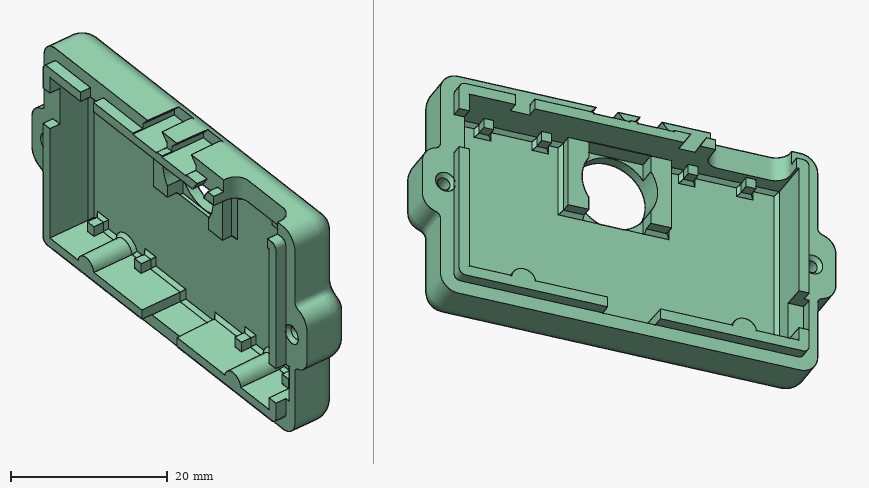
import cadquery as cq
import math

body_length = 52.45
body_height = 32.4
body_depth = 7.0
corner_radius = 2.5
back_round = 2.8

total_length = 57.5
ear_flat_half = 2.35
ear_round = 2.5
ear_blend = 0.9
screw_x = 25.5
screw_radius = 0.85
screw_mouth_radius = 1.4
screw_mouth_depth = 0.6

lip_height = 1.6
lip_length = 48.65
lip_width = 28.65
lip_corner = 0.85
cavity_length = 45.8
cavity_width = 25.7
draft = 1.0
floor_thickness = 2.0
base_chamfer = 0.5
floor_y = body_depth - floor_thickness
cavity_depth = floor_y + lip_height
cavity_top = cavity_width / 2
body_top = body_height / 2

left_gap_bottom = 4.65
left_gap_top = 10.35
top_gap_left = -16.5
top_gap_right = -13.8
slanted_gap_bottom = 12.3
slanted_gap_lower = (6.55, 8.85)
slanted_gap_upper = (7.9, 10.05)

connector_left = 11.3
connector_right = 22.6
connector_depth = 2.4
connector_radius = 2.0

pocket_right = 25.0
pocket_bottom = -11.0
pocket_top = -5.45
pocket_depth = 1.7

notch_half = 3.7
notch_bottom = -14.4

slot_x = 3.05
slot_bottom = 14.15
slot_shoulder = 15.1
slot_wide_half = 2.55
slot_narrow_half = 1.55
slot_overshoot = 0.6

post_height = 2.0
post_width = 1.4
post_flare = 0.45
top_post_reach = 1.45
bottom_post_reach = 1.6
top_post_x = (10.2, 18.2)
bottom_post_x = (10.45, 20.35)
bump_x = 15.35
bump_radius = 1.65
bump_center_z = -13.1

window_z = 7.5
window_radius = 5.25
rail_inner = 4.3
rail_outer = 7.2
rail_bottom = 2.7
recess_bottom = 2.2
recess_depth = 0.5


def block(x_range, y_range, z_range):
    """Box spanning the given ranges."""
    size = [high - low for low, high in (x_range, y_range, z_range)]
    corner = cq.Vector(x_range[0], y_range[0], z_range[0])
    return cq.Workplane(cq.Solid.makeBox(*size, corner))


def front_plane(y):
    """Sketch plane facing -Y: sketch x is +X, sketch y is +Z."""
    return cq.Workplane(cq.Plane((0, y, 0), (1, 0, 0), (0, -1, 0)))


def extrude_drafted(sketch, angle=draft):
    """Extrude from the lip's front to the floor, narrowing by the draft angle."""
    return sketch.extrude(-cavity_depth, taper=angle)


def make_ear(side):
    """Ear whose round flanks blend into the body side with concave arcs."""
    reach = (total_length - body_length) / 2
    span = ear_round + ear_blend
    blend_z = ear_flat_half + math.sqrt(span**2 - (span - reach) ** 2)
    round_center = (total_length / 2 - ear_round, ear_flat_half)
    blend_center = (body_length / 2 + ear_blend, blend_z)
    angle = math.atan2(blend_center[1] - round_center[1], blend_center[0] - round_center[0])
    blend_mid = math.pi + angle / 2

    def on_arc(center, radius, a):
        return (center[0] + radius * math.cos(a), center[1] + radius * math.sin(a))

    flat_end = on_arc(round_center, ear_round, 0)
    round_middle = on_arc(round_center, ear_round, angle / 2)
    arc_joint = on_arc(round_center, ear_round, angle)
    blend_middle = on_arc(blend_center, ear_blend, blend_mid)
    blend_end = on_arc(blend_center, ear_blend, math.pi)

    def upper(point):
        return (side * point[0], point[1])

    def lower(point):
        return (side * point[0], -point[1])

    inner_x = side * (body_length / 2 - ear_round)
    return (
        front_plane(body_depth)
        .moveTo(inner_x, -blend_z)
        .lineTo(*lower(blend_end))
        .threePointArc(lower(blend_middle), lower(arc_joint))
        .threePointArc(lower(round_middle), lower(flat_end))
        .lineTo(*upper(flat_end))
        .threePointArc(upper(round_middle), upper(arc_joint))
        .threePointArc(upper(blend_middle), upper(blend_end))
        .lineTo(inner_x, blend_z)
        .close()
        .extrude(body_depth)
    )


def make_shell():
    body = front_plane(body_depth).rect(body_length, body_height).extrude(body_depth)
    body = body.edges("|Y").fillet(corner_radius)
    for side in (-1, 1):
        body = body.union(make_ear(side))
    return body.faces(">Y").edges().fillet(back_round)


def make_screw_hole(x):
    """Through hole with a countersink at the rim."""
    rim_point = cq.Vector(x, 0, 0)
    inward = cq.Vector(0, 1, 0)
    hole = cq.Solid.makeCylinder(screw_radius, body_depth, rim_point, inward)
    mouth = cq.Solid.makeCone(screw_mouth_radius, screw_radius, screw_mouth_depth, rim_point, inward)
    return cq.Workplane(hole).union(cq.Workplane(mouth))


def make_lip():
    lip = front_plane(0).rect(lip_length, lip_width).extrude(lip_height)
    lip = lip.edges("|Y").fillet(lip_corner)
    lip_y = (-lip_height, 0)
    lip = lip.cut(block((-lip_length / 2, 0), lip_y, (left_gap_bottom, left_gap_top)))
    lip = lip.cut(block((top_gap_left, top_gap_right), lip_y, (0, lip_width / 2)))
    slanted_gap = (
        front_plane(0)
        .polyline([
            (slanted_gap_lower[0], slanted_gap_bottom),
            (slanted_gap_lower[1], slanted_gap_bottom),
            (slanted_gap_upper[1], lip_width / 2),
            (slanted_gap_upper[0], lip_width / 2),
        ])
        .close()
        .extrude(lip_height)
    )
    return lip.cut(slanted_gap)


def make_cavity():
    """Drafted cavity plus the notch in its bottom wall, less the bumps; chamfered at the floor."""
    cavity = extrude_drafted(front_plane(-lip_height).rect(cavity_length, cavity_width))
    notch = front_plane(-lip_height).rect(2 * notch_half, -2 * notch_bottom)
    upper_half = block((-notch_half, notch_half), (-lip_height, floor_y), (0, -notch_bottom))
    cavity = cavity.union(extrude_drafted(notch).cut(upper_half))
    for x in (-bump_x, bump_x):
        bump = front_plane(-lip_height).center(x, bump_center_z).circle(bump_radius)
        cavity = cavity.cut(extrude_drafted(bump, -draft))
    return cavity.faces(">Y").edges().chamfer(base_chamfer)


def make_connector_opening():
    opening = block(
        (connector_left, connector_right),
        (-lip_height, connector_depth),
        (0, body_top),
    )
    return opening.edges("|Z and >Y").fillet(connector_radius)


def make_slot(x):
    half_profile = [
        (slot_wide_half, slot_bottom),
        (slot_wide_half, slot_shoulder),
        (slot_narrow_half, body_top),
        (slot_narrow_half, body_top + slot_overshoot),
    ]
    profile = [(x + dx, z) for dx, z in half_profile]
    profile += [(x - dx, z) for dx, z in reversed(half_profile)]
    return extrude_drafted(front_plane(-lip_height).polyline(profile).close())


def make_flared(x_range, z_range, flare, open_faces):
    """Block standing on the floor, flared by a chamfer at its foot except on the open faces."""
    x_flare = [0 if face in open_faces else flare for face in ("<X", ">X")]
    z_flare = [0 if face in open_faces else flare for face in ("<Z", ">Z")]

    def outline(y, grow):
        left = x_range[0] - grow * x_flare[0]
        right = x_range[1] + grow * x_flare[1]
        bottom = z_range[0] - grow * z_flare[0]
        top = z_range[1] + grow * z_flare[1]
        corners = ((left, bottom), (right, bottom), (right, top), (left, top))
        return cq.Wire.makePolygon([cq.Vector(x, y, z) for x, z in corners], close=True)

    foot = cq.Solid.makeLoft([outline(floor_y, 1), outline(floor_y - flare, 0)], True)
    return block(x_range, (floor_y - post_height, floor_y), z_range).union(cq.Workplane(foot))


def make_posts():
    posts = []
    top_z = (cavity_top - top_post_reach, cavity_top)
    bottom_z = (-cavity_top, bottom_post_reach - cavity_top)
    for side in (-1, 1):
        for x in top_post_x:
            span = (side * x - post_width / 2, side * x + post_width / 2)
            posts.append(make_flared(span, top_z, post_flare, (">Z",)))
        for x in bottom_post_x:
            span = (side * x - post_width / 2, side * x + post_width / 2)
            posts.append(make_flared(span, bottom_z, post_flare, ("<Z",)))
    return posts


def make_rails():
    rail_z = (rail_bottom, cavity_top)
    left = make_flared((-rail_outer, -rail_inner), rail_z, base_chamfer, (">X", ">Z"))
    right = make_flared((rail_inner, rail_outer), rail_z, base_chamfer, ("<X", ">Z"))
    return [left, right]


def make_catch_pocket():
    return block((0, pocket_right), (-lip_height, pocket_depth), (pocket_bottom, pocket_top))


def make_window():
    """Round window through the floor, with the shallow recess between the rails."""
    recess_y = (floor_y - post_height, floor_y + recess_depth)
    recess = block((-rail_inner, rail_inner), recess_y, (recess_bottom, cavity_top))
    window = front_plane(body_depth).center(0, window_z).circle(window_radius).extrude(body_depth)
    return recess.union(window)


result = make_shell()
for side in (-1, 1):
    result = result.cut(make_screw_hole(side * screw_x))
result = result.union(make_lip()).cut(make_cavity())
result = result.cut(make_connector_opening()).cut(make_catch_pocket())
for side in (-1, 1):
    result = result.cut(make_slot(side * slot_x))
for stud in make_posts() + make_rails():
    result = result.union(stud)
result = result.cut(make_window())